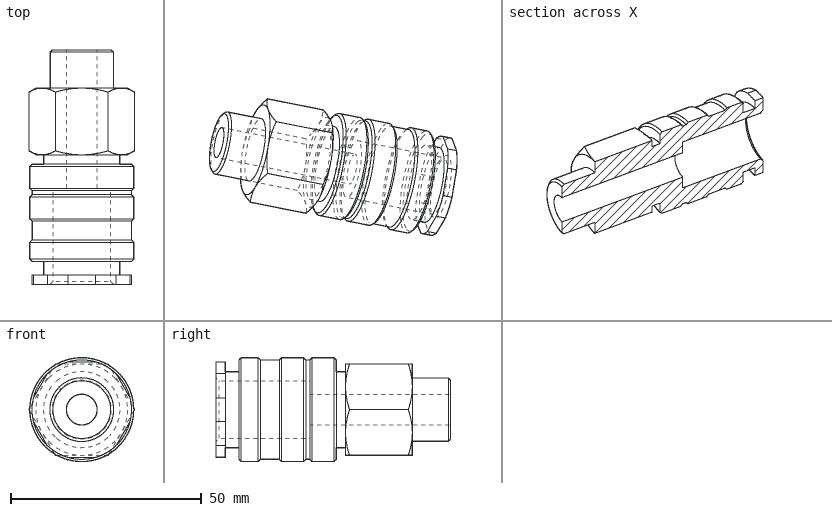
import cadquery as cq
import math

length = 61.5

flange_thickness = 2.5
flange_diameter = 26.1
flange_across_flats = 25.0

body_diameter = 20.0

sleeve_start = 6.0
sleeve_end = 31.55
sleeve_diameter = 27.3
sleeve_chamfer = 0.6
groove_depth = 0.6
grooves = [(11.1, 17.2), (22.95, 25.2)]

hex_start = 33.95
hex_end = 51.5
hex_across_flats = 24.0
hex_chamfer_angle = 30.0

spigot_diameter = 16.65
spigot_chamfer = 0.6

socket_diameter = 15.1
socket_depth = 24.6
socket_chamfer = 0.8
passage_diameter = 8.0


def cylinder(diameter, start, end):
    """Cylinder on the Y axis between two positions."""
    return cq.Workplane("XZ", origin=(0, start, 0)).circle(diameter / 2).extrude(start - end)


def hexagon(across_flats, start, end):
    """Hexagonal bar on the Y axis with flats facing up and down."""
    across_corners = across_flats / math.cos(math.radians(30))
    return cq.Workplane("XZ", origin=(0, start, 0)).polygon(6, across_corners).extrude(start - end)


def revolve_about_y(points):
    """Solid turned from an outline of (radius, Y) points."""
    return cq.Workplane("XY").polyline(points).close().revolve(360, (0, 0), (0, 1))


def make_flange():
    disc = cylinder(flange_diameter, 0, flange_thickness)
    return disc.intersect(hexagon(flange_across_flats, 0, flange_thickness))


def make_sleeve():
    sleeve = cylinder(sleeve_diameter, sleeve_start, sleeve_end)
    sleeve = sleeve.edges().chamfer(sleeve_chamfer)
    outer_radius = sleeve_diameter / 2
    floor_radius = outer_radius - groove_depth
    for start, end in grooves:
        groove = revolve_about_y([
            (outer_radius, start),
            (floor_radius, start + groove_depth),
            (floor_radius, end - groove_depth),
            (outer_radius, end),
        ])
        sleeve = sleeve.cut(groove)
    return sleeve


def make_wrench_hexagon():
    flat_radius = hex_across_flats / 2
    corner_radius = flat_radius / math.cos(math.radians(30))
    cone_length = (corner_radius - flat_radius) * math.tan(math.radians(hex_chamfer_angle))
    envelope = revolve_about_y([
        (0, hex_start),
        (flat_radius, hex_start),
        (corner_radius, hex_start + cone_length),
        (corner_radius, hex_end - cone_length),
        (flat_radius, hex_end),
        (0, hex_end),
    ])
    return hexagon(hex_across_flats, hex_start, hex_end).intersect(envelope)


def make_spigot():
    spigot = cylinder(spigot_diameter, hex_end, length)
    return spigot.faces(">Y").edges().chamfer(spigot_chamfer)


def make_bore():
    socket_radius = socket_diameter / 2
    passage_radius = passage_diameter / 2
    return revolve_about_y([
        (0, 0),
        (socket_radius + socket_chamfer, 0),
        (socket_radius, socket_chamfer),
        (socket_radius, socket_depth),
        (passage_radius, socket_depth),
        (passage_radius, length),
        (0, length),
    ])


body = cylinder(body_diameter, flange_thickness, hex_start)
outside = make_flange().union(body).union(make_sleeve()).union(make_wrench_hexagon()).union(make_spigot())
result = outside.cut(make_bore())